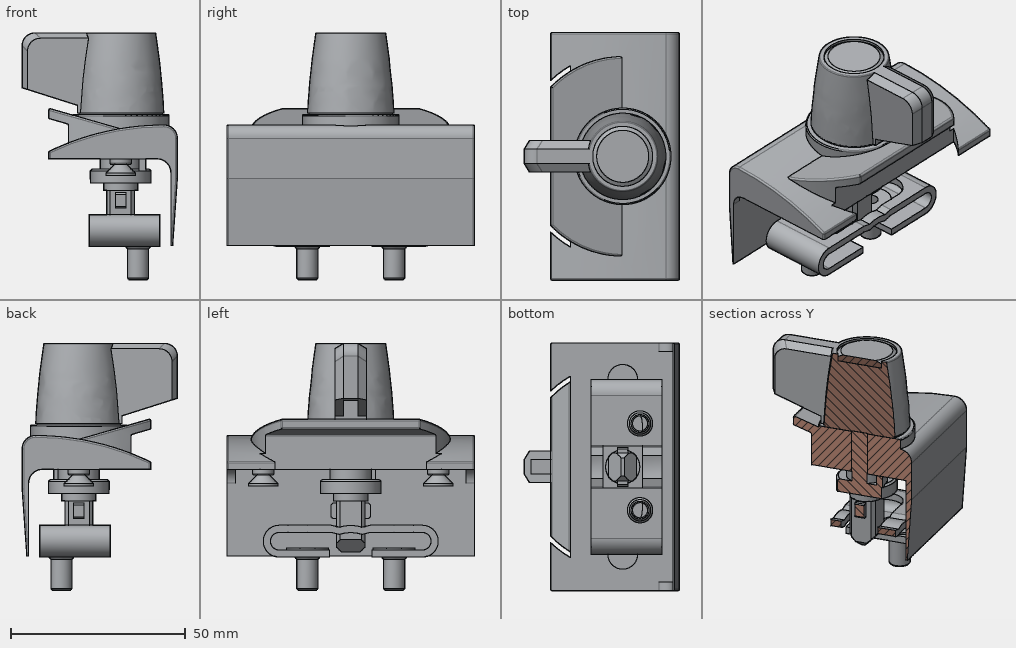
import cadquery as cq
import math


housing_length = 71.0
left_x = -20.65
right_x = 16.25
edge_round = 0.5
wing_edge_height = 2.1
dome_height = 9.7
corner_radius = 3.8
dome_end_x = right_x - corner_radius

flange_bottom_z = -24.85
flange_inner_x = 14.35
flange_tip_x = 14.9
taper_start_z = -5.55
gusset_width = 2.5
gusset_size = 3.9

tongue_radius = 28.6
slot_radius = 29.95
tongue_tip_z = 14.55
tongue_end_x = 0.3
tongue_slope = math.tan(math.radians(16))
tongue_thickness = 3.0
front_wall_x = -15.0

collar_radius = 13.85
collar_top_z = 12.7
collar_round = 0.35

boss_radius = 3.05
boss_bottom_z = -1.55
boss_round = 0.35

screw_spread = 25.05
screw_shank_diameter = 3.0
screw_head_radius = 4.25
screw_rim_top_z = -4.05
screw_bottom_z = -4.7
screw_top_z = 4.25

knob_base_diameter = 24.8
knob_base_radius = knob_base_diameter / 2
knob_top_radius = 10.0
knob_base_z = 13.1
knob_foot_inset = 0.35
knob_top_z = 36.15
knob_middle = (11.5, 24.85)
knob_rim_round = 0.3
lever_tip_x = -28.25
lever_width = 9.1
lever_tip_bottom_z = 20.4
lever_root_bottom_z = 15.35
lever_corner_radius = 3.7
lever_chamfer_depth = 1.55
lever_chamfer_width = 2.5
lever_wall = 2.05
cap_radius = 8.6
cap_face_radius = 7.45
cap_thickness = 2.05
cap_chamfer_height = 0.7

stem_radius = 5.9
disc_radius = 8.7
disc_top_z = -2.85
disc_bottom_z = -6.95
disc_chamfer = 0.6
spindle_collar_radius = 4.9
spindle_collar_bottom_z = -9.0
shaft_width = 8.0
shaft_corner_chamfer = 1.0
shaft_bottom_z = -23.7
side_bevel_width = 1.4
side_bevel_height = 1.4
front_bevel_width = 3.55
front_bevel_height = 3.6
tab_width = 3.0
tab_reach = 5.6
tab_top_z = -9.65
tab_bottom_z = -14.05
tab_chamfer = 0.5
lug_x = (5.25, 7.25)
lug_y = (-7.0, -2.1)
lug_bottom_z = -3.5

clip_left_x = -9.0
clip_depth = 20.2
clip_half_length = 25.05
clip_top_z = -16.0
clip_bottom_z = -25.1
strip_thickness = 2.05
lip_end_y = 6.0
dip_start_y = 5.6
dip_bottom_y = 3.3
dip_depth = 0.6
dip_crest_depth = 0.1
window_radius = 5.6

nut_x = 5.0
nut_spread = 12.4
nut_radius = 3.05
nut_bore_diameter = 4.3
nut_bottom_z = -34.65
nut_chamfer = 0.5
nut_flange_radius = 6.0
nut_flange_thickness = 0.6
nut_neck_radius = 3.6
nut_flare_bottom_z = -25.8

sides = (-1, 1)


def cylinder(radius, bottom_z, top_z, x=0.0, y=0.0):
    """Upright cylinder."""
    return cq.Workplane("XY", origin=(x, y, bottom_z)).circle(radius).extrude(top_z - bottom_z)


def block(x_range, y_range, z_range):
    """Box given by its limits along each axis."""
    sizes = [limits[1] - limits[0] for limits in (x_range, y_range, z_range)]
    corner = (x_range[0], y_range[0], z_range[0])
    return cq.Workplane("XY", origin=corner).box(*sizes, centered=False)


def revolved(profile, x=0.0, y=0.0):
    """Turn a list of (radius, z) points around an upright axis at (x, y)."""
    turned = cq.Workplane("XZ").polyline(profile).close().revolve(360, (0, 0, 0), (0, 1, 0))
    return turned.translate((x, y, 0))


def along_y(outline, length):
    """Extrude an XZ outline symmetrically about Y = 0."""
    return outline.extrude(length / 2, both=True)


def is_outer_edge(edge):
    """True unless the edge lies on the underside or on the inner face or tip of the flange."""
    center = edge.Center()
    on_flange_inside = center.z < 0 and center.x < flange_inner_x + 0.1
    on_underside = abs(center.z) < 0.1
    on_flange_tip = center.z < flange_bottom_z + 0.1
    return not (on_underside or on_flange_inside or on_flange_tip)


def make_dome_and_flange():
    """Domed cover with the tapered flange that hangs from its right side."""
    rise = dome_height - wing_edge_height
    run = dome_end_x - left_x
    dome_radius = (run**2 + rise**2) / (2 * rise)
    middle_run = run / 2
    middle_z = dome_height - dome_radius + math.sqrt(dome_radius**2 - middle_run**2)
    diagonal = corner_radius * math.sqrt(0.5)
    corner_z = dome_height - corner_radius
    outline = (
        cq.Workplane("XZ")
        .moveTo(left_x, 0)
        .lineTo(left_x, wing_edge_height)
        .threePointArc((dome_end_x - middle_run, middle_z), (dome_end_x, dome_height))
        .threePointArc((dome_end_x + diagonal, corner_z + diagonal), (right_x, corner_z))
        .lineTo(right_x, taper_start_z)
        .lineTo(flange_tip_x, flange_bottom_z)
        .lineTo(flange_inner_x, flange_bottom_z)
        .lineTo(flange_inner_x, 0)
        .close()
    )
    shell = along_y(outline, housing_length)
    outer_edges = shell.edges("<Y or >Y or <X").filter(is_outer_edge)
    return outer_edges.fillet(edge_round)


def make_gussets():
    """Concave fillets between the underside and the flange, at both ends of the housing."""
    start = flange_inner_x - gusset_size
    bend = gusset_size * (1 - math.sqrt(0.5))
    outline = (
        cq.Workplane("XZ")
        .moveTo(start, 0)
        .threePointArc((flange_inner_x - bend, -bend), (flange_inner_x, -gusset_size))
        .lineTo(flange_inner_x, 0)
        .close()
    )
    gap = housing_length - 2 * gusset_width
    return along_y(outline, housing_length).cut(
        block((start, flange_inner_x), (-gap / 2, gap / 2), (-gusset_size, 0))
    )


def tongue_z(x):
    """Height of the sloping top of the tongue."""
    return tongue_tip_z - tongue_slope * (x - left_x)


def is_tongue_rim(edge):
    """True for edges of the tip and of the upper side, except the line where the tongue meets the dome."""
    center = edge.Center()
    return center.x < tongue_end_x - 0.1 and center.z > tongue_z(center.x) - tongue_thickness - 0.1


def make_tongue():
    """Sloping thumb rest with a round outline, on top of the front wall."""
    outline = cq.Workplane("XZ").polyline([
        (left_x, tongue_z(left_x)),
        (tongue_end_x, tongue_z(tongue_end_x)),
        (tongue_end_x, 0),
        (front_wall_x, 0),
        (front_wall_x, tongue_z(front_wall_x) - tongue_thickness),
        (left_x, tongue_z(left_x) - tongue_thickness),
    ]).close()
    tongue = along_y(outline, housing_length).intersect(cylinder(tongue_radius, 0, tongue_tip_z))
    rim_faces = tongue.faces().filter(lambda face: face.normalAt().z > 0.5 or face.normalAt().x < -0.9)
    rim_edges = rim_faces.edges().filter(is_tongue_rim)
    return rim_edges.fillet(edge_round)


def make_housing(screws):
    """Cover with wings, tongue, collar and screw bosses."""
    housing = make_dome_and_flange()
    wing_gap = cylinder(slot_radius, 0, collar_top_z).intersect(
        block((left_x, front_wall_x), (-slot_radius, slot_radius), (0, collar_top_z))
    )
    collar = cylinder(collar_radius, 0, collar_top_z).faces(">Z").edges().fillet(collar_round)
    housing = housing.cut(wing_gap).union(make_gussets()).union(make_tongue()).union(collar)
    for side in sides:
        boss = cylinder(boss_radius, boss_bottom_z, 0, y=side * screw_spread)
        housing = housing.union(boss.faces("<Z").edges().fillet(boss_round))
    housing = housing.cut(cylinder(stem_radius, 0, collar_top_z))
    for screw in screws:
        housing = housing.cut(screw)
    return housing


def make_screw(y):
    """Countersunk screw driven up into a boss."""
    shank_radius = screw_shank_diameter / 2
    cone_top_z = screw_rim_top_z + screw_head_radius - shank_radius
    return revolved([
        (0, screw_bottom_z),
        (screw_head_radius, screw_bottom_z),
        (screw_head_radius, screw_rim_top_z),
        (shank_radius, cone_top_z),
        (shank_radius, screw_top_z),
        (0, screw_top_z),
    ], y=y)


def lever_outline(inset):
    """Side outline of the lever, drawn in by `inset` at its tip and top."""
    tip_x = lever_tip_x + inset
    top_z = knob_top_z - inset
    radius = lever_corner_radius
    slope = (lever_tip_bottom_z - lever_root_bottom_z) / (-knob_base_radius - lever_tip_x)
    bend = radius * (1 - math.sqrt(0.5))
    return (
        cq.Workplane("XZ")
        .moveTo(0, top_z)
        .lineTo(tip_x + radius, top_z)
        .threePointArc((tip_x + bend, top_z - bend), (tip_x, top_z - radius))
        .lineTo(tip_x, lever_tip_bottom_z - slope * inset)
        .lineTo(-knob_base_radius, lever_root_bottom_z)
        .lineTo(-knob_base_radius, knob_base_z)
        .lineTo(0, knob_base_z)
        .close()
    )


def make_lever():
    """Lever with chamfered tip and top, hollow from below."""
    flat_half_width = lever_width / 2 - lever_chamfer_width
    flat_middle = along_y(lever_outline(0), 2 * flat_half_width)
    wide = lever_outline(0).val()
    narrow = lever_outline(lever_chamfer_depth).val()
    lever = flat_middle
    for side in sides:
        chamfered_side = cq.Solid.makeLoft([
            wide.translate(cq.Vector(0, side * flat_half_width, 0)),
            narrow.translate(cq.Vector(0, side * lever_width / 2, 0)),
        ], True)
        lever = lever.union(cq.Workplane(chamfered_side))
    hollow = block(
        (lever_tip_x + lever_wall, -knob_base_radius),
        (-flat_half_width, flat_half_width),
        (lever_root_bottom_z, knob_top_z - lever_wall),
    )
    return lever.cut(hollow)


def make_knob():
    """Round tapered grip with a lever and a recess for the cap."""
    grip_outline = (
        cq.Workplane("XZ")
        .moveTo(0, knob_base_z)
        .lineTo(knob_base_radius, knob_base_z)
        .threePointArc(knob_middle, (knob_top_radius, knob_top_z))
        .lineTo(0, knob_top_z)
        .close()
    )
    grip = grip_outline.revolve(360, (0, 0, 0), (0, 1, 0))
    grip = grip.faces(">Z").edges().fillet(knob_rim_round)
    grip = grip.union(cylinder(knob_base_radius - knob_foot_inset, collar_top_z, knob_base_z))
    recess = cylinder(cap_radius, knob_top_z - cap_thickness, knob_top_z)
    return grip.union(make_lever()).cut(recess)


def make_cap():
    """Round cap with a chamfered edge, flush with the top of the knob."""
    cap_bottom_z = knob_top_z - cap_thickness
    return revolved([
        (0, cap_bottom_z),
        (cap_radius, cap_bottom_z),
        (cap_radius, knob_top_z - cap_chamfer_height),
        (cap_face_radius, knob_top_z),
        (0, knob_top_z),
    ])


def make_shaft():
    """Square shaft with chamfered corners and a bevelled lower end."""
    half = shaft_width / 2
    span = (-half, half)
    shaft = block(span, span, (shaft_bottom_z, spindle_collar_bottom_z))
    shaft = shaft.edges("|Z").chamfer(shaft_corner_chamfer)
    end_outlines = (
        ("XZ", front_bevel_width, front_bevel_height),
        ("YZ", side_bevel_width, side_bevel_height),
    )
    for plane, bevel_width, bevel_height in end_outlines:
        end_outline = cq.Workplane(plane).polyline([
            (-half, spindle_collar_bottom_z),
            (-half, shaft_bottom_z + bevel_height),
            (-half + bevel_width, shaft_bottom_z),
            (half - bevel_width, shaft_bottom_z),
            (half, shaft_bottom_z + bevel_height),
            (half, spindle_collar_bottom_z),
        ]).close()
        shaft = shaft.intersect(end_outline.extrude(half, both=True))
    return shaft


def make_spindle():
    """Stem under the knob with a disc, a lug and a square shaft with two side tabs."""
    spindle = cylinder(stem_radius, disc_top_z, collar_top_z)
    disc = cylinder(disc_radius, disc_bottom_z, disc_top_z)
    spindle = spindle.union(disc.faces(">Z").edges().chamfer(disc_chamfer))
    spindle = spindle.union(block(lug_x, lug_y, (lug_bottom_z, 0)))
    spindle = spindle.union(cylinder(spindle_collar_radius, spindle_collar_bottom_z, disc_bottom_z))
    tabs = block((-tab_width / 2, tab_width / 2), (-tab_reach, tab_reach), (tab_bottom_z, tab_top_z))
    tabs = tabs.edges("|X").chamfer(tab_chamfer)
    return spindle.union(make_shaft()).union(tabs)


def make_clip():
    """Flat strip bent round at both ends, with a window for the spindle."""
    end_radius = (clip_top_z - clip_bottom_z) / 2
    middle_z = (clip_top_z + clip_bottom_z) / 2
    bend_y = clip_half_length - end_radius
    inner_radius = end_radius - strip_thickness

    def stadium(radius):
        """Long rounded section with ends of the given radius."""
        section = cq.Workplane("YZ", origin=(clip_left_x, 0, middle_z))
        return section.slot2D(2 * (bend_y + radius), 2 * radius).extrude(clip_depth)

    def dip(top_z):
        """Waved area across the middle of the strip, below the given level."""
        section = (
            cq.Workplane("YZ", origin=(clip_left_x, 0, 0))
            .moveTo(-dip_start_y, top_z)
            .lineTo(-dip_bottom_y, top_z - dip_depth)
            .threePointArc((0, top_z - dip_crest_depth), (dip_bottom_y, top_z - dip_depth))
            .lineTo(dip_start_y, top_z)
            .close()
        )
        return section.extrude(clip_depth)

    inner_top_z = clip_top_z - strip_thickness
    clip = stadium(end_radius).cut(stadium(inner_radius))
    clip = clip.union(dip(inner_top_z)).cut(dip(clip_top_z))
    x_range = (clip_left_x, clip_left_x + clip_depth)
    lip_top_z = clip_bottom_z + strip_thickness
    clip = clip.cut(block(x_range, (-lip_end_y, lip_end_y), (clip_bottom_z, lip_top_z)))
    window = cq.Workplane("XY", origin=(0, 0, middle_z)).slot2D(
        2 * (nut_spread + window_radius), 2 * window_radius, 90
    ).extrude(end_radius)
    clip = clip.cut(window)
    for side in sides:
        clip = clip.cut(cylinder(nut_neck_radius, clip_bottom_z, lip_top_z, nut_x, side * nut_spread))
    return clip


def make_rivet_nut(y):
    """Flanged sleeve riveted into a lip of the clip, with an open bore."""
    lip_top_z = clip_bottom_z + strip_thickness
    flange_top_z = lip_top_z + nut_flange_thickness
    bore_radius = nut_bore_diameter / 2
    return revolved([
        (bore_radius, flange_top_z),
        (nut_flange_radius, flange_top_z),
        (nut_flange_radius, lip_top_z),
        (nut_neck_radius, lip_top_z),
        (nut_neck_radius, clip_bottom_z),
        (nut_radius, nut_flare_bottom_z),
        (nut_radius, nut_bottom_z + nut_chamfer),
        (nut_radius - nut_chamfer, nut_bottom_z),
        (bore_radius, nut_bottom_z),
    ], x=nut_x, y=y)


screws = [make_screw(side * screw_spread) for side in sides]
rivet_nuts = [make_rivet_nut(side * nut_spread) for side in sides]
spindle = make_spindle()
housing = make_housing(screws)
cap = make_cap()
knob = make_knob()
clip = make_clip()

result = cq.Compound.makeCompound([
    housing.val(),
    knob.val(),
    cap.val(),
    spindle.val(),
    clip.val(),
    *[screw.val() for screw in screws],
    *[nut.val() for nut in rivet_nuts],
])